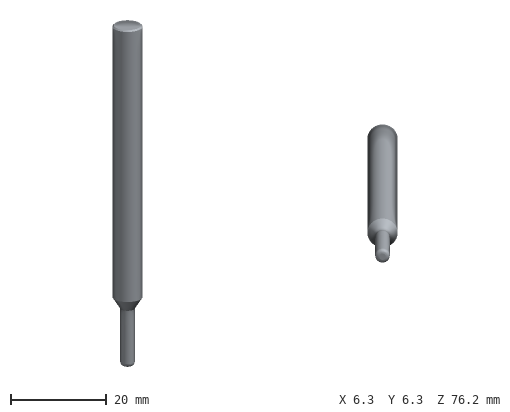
import cadquery as cq

TOTAL_LENGTH = 76.2
SHANK_DIAMETER = 6.3
SHANK_RADIUS = SHANK_DIAMETER / 2
SHANK_CHAMFER = 0.3

CUTTER_LENGTH = 9.5
NECK_TOP = 12.8
CONE_TOP = 15.4

CUTTER_RADIUS = 1.5
CORNER_RADIUS = 0.85
NECK_RADIUS = CUTTER_RADIUS


def revolve_profile(points):
    """Turn a closed (radius, height) outline once around the Z axis."""
    return cq.Workplane("XZ").polyline(points).close().revolve(360, (0, 0), (0, 1))


def make_cutter():
    """Cutting end: a cylinder with a rounded corner around its flat tip."""
    cylinder = cq.Workplane("XY").circle(CUTTER_RADIUS).extrude(CUTTER_LENGTH)
    return cylinder.faces("<Z").edges().fillet(CORNER_RADIUS)


def make_shank():
    """Neck, cone and cylindrical shank with a chamfered top edge."""
    return revolve_profile([
        (0, CUTTER_LENGTH),
        (NECK_RADIUS, CUTTER_LENGTH),
        (NECK_RADIUS, NECK_TOP),
        (SHANK_RADIUS, CONE_TOP),
        (SHANK_RADIUS, TOTAL_LENGTH - SHANK_CHAMFER),
        (SHANK_RADIUS - SHANK_CHAMFER, TOTAL_LENGTH),
        (0, TOTAL_LENGTH),
    ])


cutter = make_cutter()
shank = make_shank()

result = cq.Compound.makeCompound([cutter.val(), shank.val()])